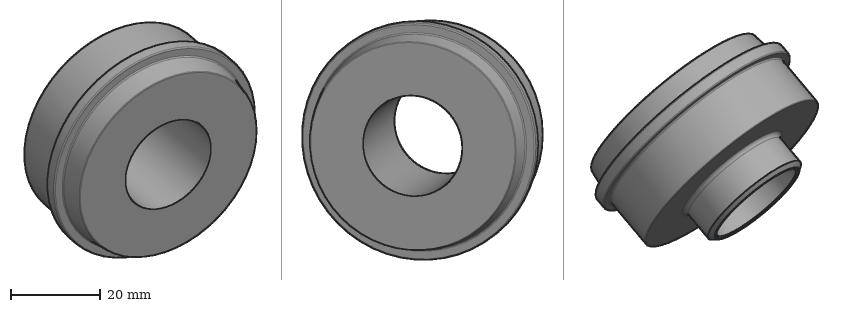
import cadquery as cq
import math

total_length = 30.0
neck_length = 9.0
flange_width = 3.0
cone_length = 5.5
flange_end = total_length - cone_length
flange_start = flange_end - flange_width

bore_diameter = 22.9
neck_diameter = 26.9
body_diameter = 50.0
flange_diameter = 54.0
cone_base_diameter = 49.3
cone_angle = 9.0

weld_bevel_angle = 37.5
weld_bevel_height = 1.2
bore_chamfer = 0.3
neck_fillet = 1.0
small_fillet = 0.3
edge_break = 0.2

rim_tolerance = 0.01


def disc(start, length, diameter):
    """Cylinder on the X axis beginning at the given station."""
    return cq.Workplane("YZ", origin=(start, 0, 0)).circle(diameter / 2).extrude(length)


def rim(station, diameter):
    """Selector for the circular edge of this diameter at this station on the X axis."""
    inner = diameter / 2 - rim_tolerance
    outer = diameter / 2 + rim_tolerance
    low = station - rim_tolerance
    high = station + rim_tolerance
    up_to_rim = cq.selectors.BoxSelector((low, -outer, -outer), (high, outer, outer), boundingbox=True)
    inside_rim = cq.selectors.BoxSelector((low, -inner, -inner), (high, inner, inner), boundingbox=True)
    return up_to_rim - inside_rim


def make_blank():
    """Neck, body, flange and tapered end as one stepped solid."""
    neck = disc(0, neck_length, neck_diameter)
    body = disc(neck_length, flange_start - neck_length, body_diameter)
    flange = disc(flange_start, flange_width, flange_diameter)
    cone = (
        cq.Workplane("YZ", origin=(flange_end, 0, 0))
        .circle(cone_base_diameter / 2)
        .extrude(cone_length, taper=cone_angle)
    )
    return neck.union(body).union(flange).union(cone)


def round_edges(blank):
    """Fillet the inside corners and the flange rims, and break the outer edges."""
    cone_end_diameter = cone_base_diameter - 2 * cone_length * math.tan(math.radians(cone_angle))
    blank = blank.edges(rim(neck_length, neck_diameter)).fillet(neck_fillet)
    for station, diameter in (
        (flange_start, body_diameter),
        (flange_start, flange_diameter),
        (flange_end, flange_diameter),
        (flange_end, cone_base_diameter),
    ):
        blank = blank.edges(rim(station, diameter)).fillet(small_fillet)
    for station, diameter in ((neck_length, body_diameter), (total_length, cone_end_diameter)):
        blank = blank.edges(rim(station, diameter)).fillet(edge_break)
    return blank


def bevel_neck(blank):
    """Cut the weld preparation bevel around the neck tip."""
    bevel_length = weld_bevel_height * math.tan(math.radians(weld_bevel_angle))
    neck_radius = neck_diameter / 2
    ring = (
        cq.Workplane("XY")
        .moveTo(0, neck_radius - weld_bevel_height)
        .lineTo(bevel_length, neck_radius)
        .lineTo(0, neck_radius)
        .close()
        .revolve(360, (0, 0, 0), (1, 0, 0))
    )
    return blank.cut(ring)


def bore_through(blank):
    """Drill the through bore and chamfer its mouth at the neck tip."""
    bored = blank.cut(disc(0, total_length, bore_diameter))
    return bored.edges(rim(0, bore_diameter)).chamfer(bore_chamfer)


result = bore_through(bevel_neck(round_edges(make_blank())))